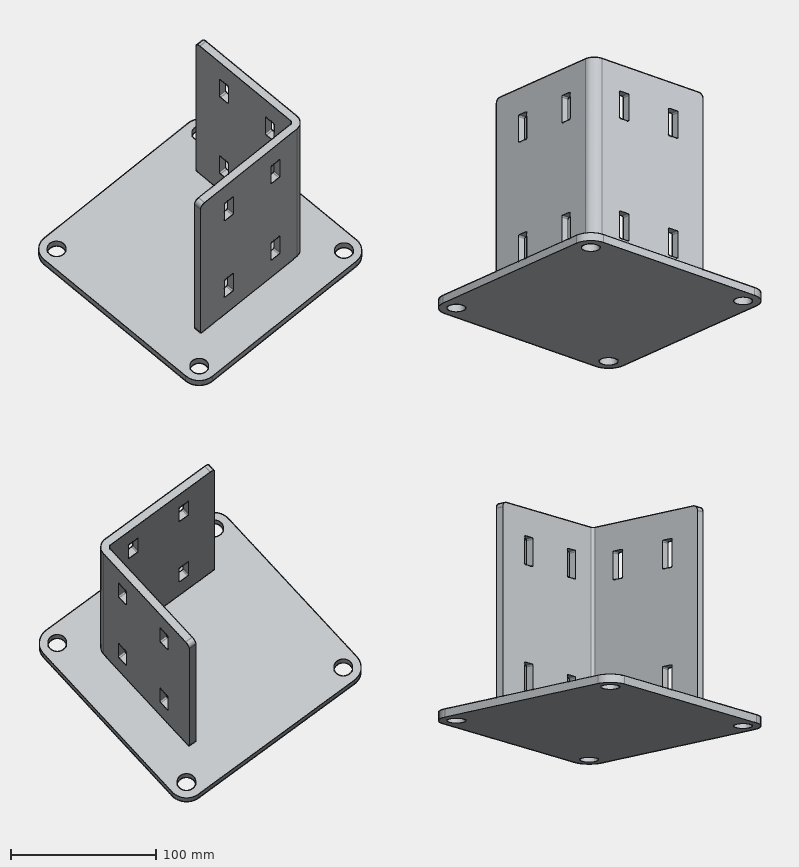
import cadquery as cq

plate_side = 165.0
plate_thickness = 6.0
plate_corner_radius = 13.0
bolt_hole_diameter = 13.0
bolt_hole_spacing = 140.0

total_height = 156.0
leg_height = total_height - plate_thickness
leg_thickness = 6.0
leg_outer_face = 51.0
leg_free_end = -50.0
bend_inner_radius = 2.0
bend_outer_radius = bend_inner_radius + leg_thickness
leg_top_corner_radius = 4.0
leg_bottom_corner_radius = 1.0

relief_length = 10.9
relief_height = 0.5

slot_width = 8.5
slot_height = 20.5
slot_corner_radius = 1.0
slot_column_spacing = 45.0
slot_row_spacing = 90.0
lowest_slot_height = 36.0


def make_base_plate():
    """Square plate with rounded corners and a bolt hole near each corner."""
    return (
        cq.Workplane("XY")
        .rect(plate_side, plate_side)
        .extrude(plate_thickness)
        .edges("|Z")
        .fillet(plate_corner_radius)
        .faces(">Z")
        .workplane()
        .rect(bolt_hole_spacing, bolt_hole_spacing, forConstruction=True)
        .vertices()
        .hole(bolt_hole_diameter)
    )


def make_angle():
    """Bent L profile with rounded corners at the free end of each leg."""
    leg_inner_face = leg_outer_face - leg_thickness
    angle = (
        cq.Workplane("XY")
        .workplane(offset=plate_thickness)
        .moveTo(leg_free_end, leg_outer_face)
        .lineTo(leg_outer_face, leg_outer_face)
        .lineTo(leg_outer_face, leg_free_end)
        .lineTo(leg_inner_face, leg_free_end)
        .lineTo(leg_inner_face, leg_inner_face)
        .lineTo(leg_free_end, leg_inner_face)
        .close()
        .extrude(leg_height)
    )
    inner_corner = (leg_inner_face, leg_inner_face, total_height / 2)
    outer_corner = (leg_outer_face, leg_outer_face, total_height / 2)
    angle = angle.edges(cq.NearestToPointSelector(inner_corner)).fillet(bend_inner_radius)
    angle = angle.edges(cq.NearestToPointSelector(outer_corner)).fillet(bend_outer_radius)
    for free_end in ("<X", "<Y"):
        angle = angle.faces(free_end).edges(">Z").fillet(leg_top_corner_radius)
        angle = angle.faces(free_end).edges("<Z").fillet(leg_bottom_corner_radius)
    return angle


def make_slot_cutters(plane):
    """Four rounded rectangular bars running across the part, normal to the given plane."""
    middle_height = lowest_slot_height + slot_row_spacing / 2
    return (
        cq.Workplane(plane, origin=(0, 0, middle_height))
        .rarray(slot_column_spacing, slot_row_spacing, 2, 2)
        .rect(slot_width, slot_height)
        .extrude(plate_side / 2, both=True)
        .edges("|Y" if plane == "XZ" else "|X")
        .fillet(slot_corner_radius)
    )


def make_bend_relief():
    """Thin square block under the bend, reaching a little way along both legs."""
    relief_start = leg_outer_face - relief_length
    return (
        cq.Workplane("XY")
        .box(relief_length, relief_length, relief_height, centered=False)
        .translate((relief_start, relief_start, plate_thickness))
    )


angle = make_angle().cut(make_bend_relief())
for slot_plane in ("XZ", "YZ"):
    angle = angle.cut(make_slot_cutters(slot_plane))

result = make_base_plate().union(angle)